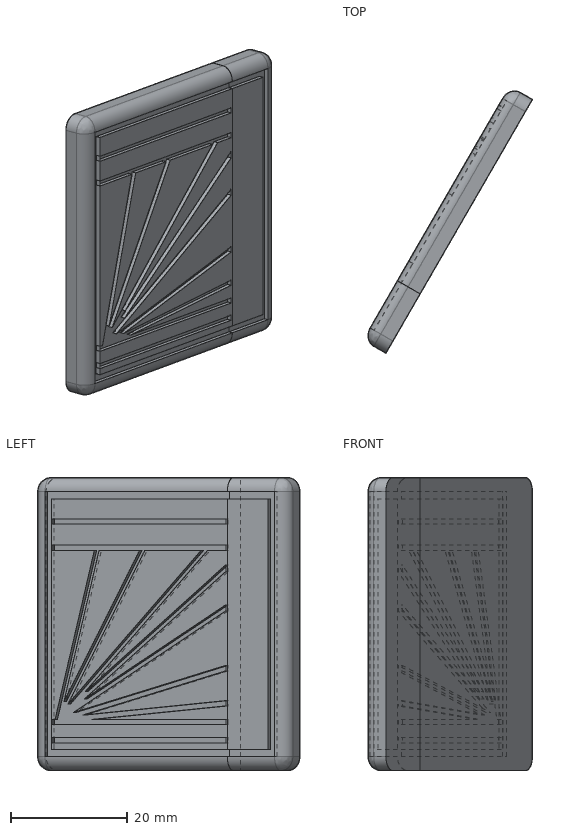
import cadquery as cq
import math

height = 50.4
length = 50.4
thickness = 4.55
corner_radius = 2.4
edge_width = corner_radius
edge_depth = 2.1
turn_angle = 60.0
split_at = 11.8

channel_depth = 0.8
channel_width = 1.25
panel_inset = edge_width + channel_width

groove_width = 0.9
groove_depth = channel_depth
groove_to_split = 0.3
groove_to_rim = 0.1
groove_start = split_at + groove_to_split
groove_end = length - panel_inset - groove_to_rim
row_heights = [5.25, 8.35, 38.35, 42.85]

fan_x = 45.55
fan_z = 8.65
fan_angles = [5, 15, 30, 38, 45, 60, 75]
ray_length = math.hypot(length, height)
fan_bottom = row_heights[1]
fan_top = row_heights[2]


def front_cutter(x_min, x_max, z_min, z_max, depth):
    """Box that sinks into the front face by the given depth."""
    return (
        cq.Workplane("XY")
        .box(x_max - x_min, depth, z_max - z_min, centered=False)
        .translate((x_min, thickness - depth, z_min))
    )


def inset_cutter(inset, depth):
    """Front cutter that stays the same distance inside all four plate edges."""
    return front_cutter(inset, length - inset, inset, height - inset, depth)


def rounded_plate():
    """Plate with elliptical front edges: circular fillets, squeezed along the thickness."""
    squeeze = edge_depth / edge_width
    plate = cq.Workplane("XY").box(length, thickness / squeeze, height, centered=False)
    plate = plate.edges("|Y").fillet(corner_radius)
    plate = plate.faces(">Y").edges().fillet(edge_width)
    squeeze_matrix = cq.Matrix([[1, 0, 0, 0], [0, squeeze, 0, 0], [0, 0, 1, 0]])
    return cq.Workplane("XY").add(plate.val().transformGeometry(squeeze_matrix))


def level_grooves():
    half = groove_width / 2
    cutters = cq.Workplane("XY")
    for z in row_heights:
        cutters = cutters.add(front_cutter(groove_start, groove_end, z - half, z + half, groove_depth))
    return cutters.combine()


def ray_fan():
    half = groove_width / 2
    fan = cq.Workplane("XY")
    for angle in fan_angles:
        ray = front_cutter(fan_x - ray_length, fan_x, fan_z - half, fan_z + half, groove_depth)
        fan = fan.add(ray.rotate((fan_x, 0, fan_z), (fan_x, 1, fan_z), angle))
    field = front_cutter(groove_start, groove_end, fan_bottom, fan_top, groove_depth)
    return fan.combine().intersect(field)


def finished_plate():
    channel = inset_cutter(edge_width, channel_depth).cut(inset_cutter(panel_inset, channel_depth))
    return rounded_plate().cut(channel).cut(level_grooves()).cut(ray_fan())


def body_from_plate(plate, x_min, x_max):
    """The stretch of the plate between two positions along its length."""
    stretch = cq.Workplane("XY").box(x_max - x_min, thickness, height, centered=False).translate((x_min, 0, 0))
    return plate.intersect(stretch).rotate((0, 0, 0), (0, 0, 1), turn_angle)


plate = finished_plate()

narrow_body = body_from_plate(plate, 0, split_at)

wide_body = body_from_plate(plate, split_at, length)

result = cq.Compound.makeCompound([narrow_body.val(), wide_body.val()])